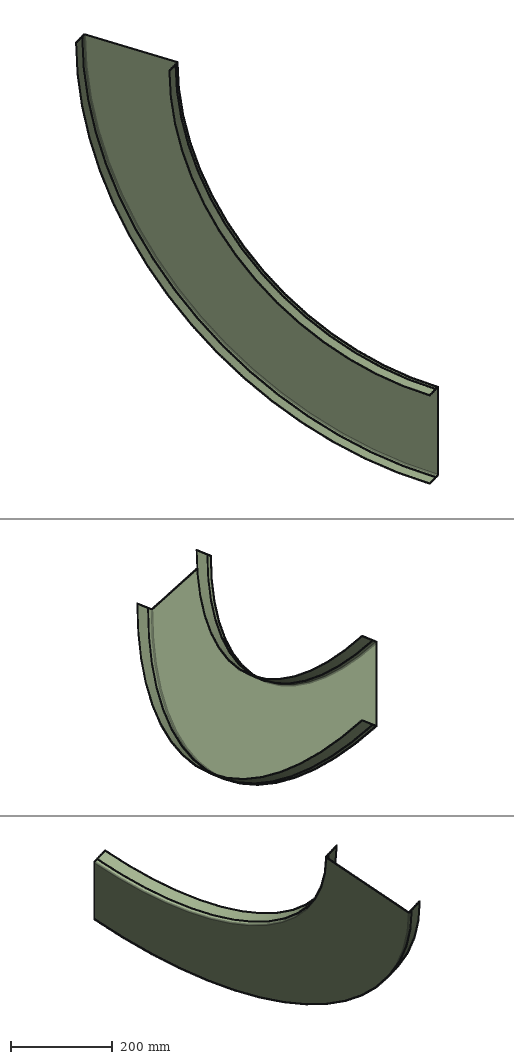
import cadquery as cq

outer_radius = 789.5
bend_width = 209.0
total_depth = 35.0
lip_depth = 9.5
sheet = 1.0
fold_radius = 2.0
bend_angle = 90

inner_radius = outer_radius - bend_width
center = outer_radius / 2
back = total_depth / 2
lip_edge = back - lip_depth
front = -total_depth / 2
fold_inside_radius = fold_radius - sheet


def sweep_section(section):
    """Sweep a section through the bend, from its right end to its top end.

    The section's horizontal coordinate is the radius, its vertical one is Y.
    """
    quarter = section.revolve(bend_angle, (0, 0, 0), (0, 1, 0))
    return quarter.rotate((0, 0, 0), (0, 1, 0), bend_angle).translate((center, 0, center))


def rounded_channel_solid(start_radius, end_radius, floor_back, radius):
    """Return a solid curved channel section with both back edges rounded."""
    section = (
        cq.Workplane("XY")
        .moveTo(start_radius, lip_edge)
        .lineTo(start_radius, floor_back - radius)
        .radiusArc((start_radius + radius, floor_back), radius)
        .lineTo(end_radius - radius, floor_back)
        .radiusArc((end_radius, floor_back - radius), radius)
        .lineTo(end_radius, lip_edge)
        .close()
    )
    return sweep_section(section)


def make_tray():
    """Curved floor with a short folded lip along each edge."""
    outside = rounded_channel_solid(inner_radius, outer_radius, back, fold_radius)
    hollow = rounded_channel_solid(
        inner_radius + sheet, outer_radius - sheet, back - sheet, fold_inside_radius
    )
    return outside.cut(hollow)


def make_rail(start_radius):
    """Curved side rail standing edge to edge on a tray lip."""
    section = (
        cq.Workplane("XY")
        .moveTo(start_radius, front)
        .lineTo(start_radius + sheet, front)
        .lineTo(start_radius + sheet, lip_edge)
        .lineTo(start_radius, lip_edge)
        .close()
    )
    return sweep_section(section)


tray = make_tray()
rail_start_radii = [inner_radius, outer_radius - sheet]
rails = [make_rail(start_radius) for start_radius in rail_start_radii]

result = cq.Compound.makeCompound([tray.val(), *[rail.val() for rail in rails]])